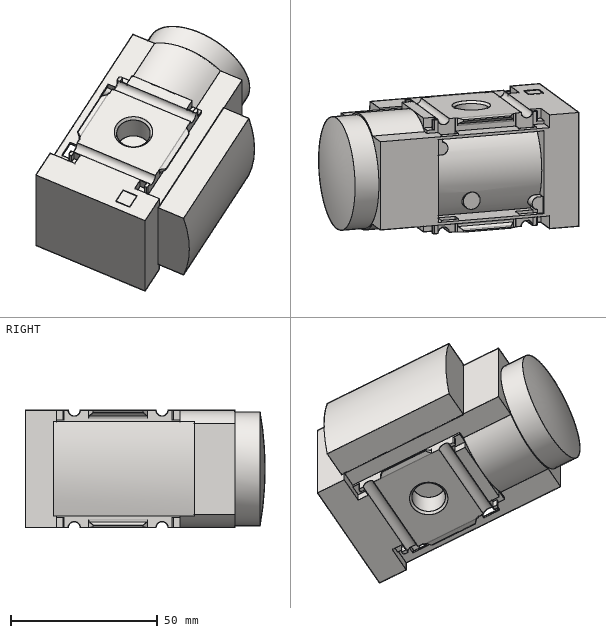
import cadquery as cq
import math

body_width = 42.1
body_height = 40.2
total_length = 82.0
total_width = 54.2
body_length = 71.6
half_width = body_width / 2
half_height = body_height / 2

port_y = 31.7
recess_length = 42.3
recess_front = port_y - recess_length / 2
recess_back = port_y + recess_length / 2
floor_z = 15.6
plate_half_width = 15.25
plate_overlap = 0.8

port_diameter = 11.5
port_chamfer = 0.8
port_depth = 9.8

groove_diameter = 4.0
groove_offset = 15.0

notch_inner_x = 11.55
notch_length = 3.9
notch_floor_z = 16.6
post_width = 1.2
post_length = 1.6
post_chamfer = 0.4

rib_reach = 1.8
rib_height = 2.6
rib_half_length = 10.1
rib_end_taper = 1.55
rib_top_drop = 0.25
rib_tip_drop = 0.7
rib_flank_drop = 1.15
rib_flank_inset = 0.4
rib_foot_drop = 2.0
rib_foot_reach = 0.2

window_half_length = 19.0
window_half_height = 14.6
bowl_radius = 18.9
slot_outer_x = 18.7
slot_inner_x = 14.9
slot_near = 10.9
slot_far = 17.1
lug_diameter = 4.5
lug_face_x = 20.0
lug_offset_y = 17.45
lug_edge_offset_y = 17.1
lug_z = 11.1
pin_diameter = 6.1
pin_face_x = 18.2
pin_y = 37.7
pin_z = -8.7

collar_radius = half_height
knob_diameter = 39.0
knob_rim_y = 80.2

gauge_front = 9.6
gauge_back = 57.8
gauge_half_height = 16.15
gauge_edge_x = 30.9
gauge_tip_x = total_width - half_width

mark_size = 5.3
mark_x = 11.0
mark_y = 5.5
mark_depth = 0.25


def box(x_min, x_max, y_min, y_max, z_min, z_max):
    """Axis-aligned box given by its limits."""
    size = (x_max - x_min, y_max - y_min, z_max - z_min)
    return cq.Workplane("XY").box(*size, centered=False).translate((x_min, y_min, z_min))


def rod_along_x(x_min, x_max, y, z, diameter):
    """Cylinder parallel to X."""
    return cq.Workplane("YZ", origin=(x_min, y, z)).circle(diameter / 2).extrude(x_max - x_min)


def rod_along_y(y_min, y_max, radius):
    """Cylinder on the knob axis."""
    return cq.Workplane("XZ", origin=(0, y_min, 0)).circle(radius).extrude(y_min - y_max)


def mirror_y(shape):
    """Copy reflected about the plane through the port axis."""
    return shape.mirror("XZ", (0, port_y, 0))


def half_turn(shape):
    """Copy turned by 180 degrees about the line along X at mid-height through the port axis."""
    return shape.rotate((0, port_y, 0), (1, port_y, 0), 180)


def make_knob():
    """Plain cylinder closed by a shallow domed cap."""
    radius = knob_diameter / 2
    rise = total_length - knob_rim_y
    dome_radius = (radius**2 + rise**2) / (2 * rise)
    middle_y = total_length - dome_radius + math.sqrt(dome_radius**2 - (radius / 2) ** 2)
    return (
        cq.Workplane("XY")
        .moveTo(0, body_length)
        .lineTo(radius, body_length)
        .lineTo(radius, knob_rim_y)
        .threePointArc((radius / 2, middle_y), (0, total_length))
        .close()
        .revolve(360, (0, 0, 0), (0, 1, 0))
    )


def make_gauge():
    """Block with a bulged outer face."""
    return (
        cq.Workplane("XZ", origin=(0, gauge_front, 0))
        .moveTo(half_width, -gauge_half_height)
        .lineTo(gauge_edge_x, -gauge_half_height)
        .threePointArc((gauge_tip_x, 0), (gauge_edge_x, gauge_half_height))
        .lineTo(half_width, gauge_half_height)
        .close()
        .extrude(gauge_front - gauge_back)
    )


def make_window():
    """Cavity open to -X, its inner wall being the convex bowl."""
    cavity = box(
        -half_width, 0,
        port_y - window_half_length, port_y + window_half_length,
        -window_half_height, window_half_height,
    )
    return cavity.cut(rod_along_y(0, body_length, bowl_radius))


def make_lug():
    """Rounded lug in the upper back corner of the window."""
    y = port_y + lug_offset_y
    back = port_y + window_half_length
    lug = rod_along_x(-lug_face_x, 0, y, lug_z, lug_diameter)
    corner = box(
        -lug_face_x, 0,
        port_y + lug_edge_offset_y, back,
        lug_z, window_half_height,
    )
    foot = box(-lug_face_x, 0, y, back, lug_z - lug_diameter / 2, lug_z)
    return lug.union(corner).union(foot)


def make_rib():
    """Wedge-shaped rib on the -X side of the upper plate, with bevelled ends."""
    root_x = -plate_half_width
    tip_x = root_x - rib_reach
    profile = [
        (0, half_height - rib_height),
        (root_x, half_height - rib_height),
        (root_x - rib_foot_reach, half_height - rib_foot_drop),
        (tip_x + rib_flank_inset, half_height - rib_flank_drop),
        (tip_x, half_height - rib_tip_drop),
        (tip_x, half_height - rib_top_drop),
        (root_x, half_height),
        (0, half_height),
    ]
    tip_half_length = rib_half_length - rib_end_taper
    plan = [
        (0, port_y - rib_half_length),
        (root_x, port_y - rib_half_length),
        (tip_x, port_y - tip_half_length),
        (tip_x, port_y + tip_half_length),
        (root_x, port_y + rib_half_length),
        (0, port_y + rib_half_length),
    ]
    bar = cq.Workplane("XZ").polyline(profile).close().extrude(-body_length)
    return bar.intersect(cq.Workplane("XY").polyline(plan).close().extrude(half_height))


def make_post():
    """Post in the back -X notch of the upper plate, with a bevelled outer edge."""
    y_min = recess_back - notch_length
    post = box(
        -plate_half_width, -plate_half_width + post_width,
        y_min, y_min + post_length,
        floor_z, half_height,
    )
    return post.edges("|Z and <X and >Y").chamfer(post_chamfer)


def make_plate():
    """Upper port plate with ribs, grooves, corner notches and posts."""
    plate = box(
        -plate_half_width, plate_half_width,
        recess_front, recess_back,
        floor_z - plate_overlap, half_height,
    )
    rib = make_rib()
    plate = plate.union(rib).union(rib.mirror("YZ"))

    notch = box(
        -plate_half_width, -notch_inner_x,
        recess_back - notch_length, recess_back,
        notch_floor_z, half_height,
    )
    post = make_post()
    for shape in (notch, mirror_y(notch)):
        plate = plate.cut(shape).cut(shape.mirror("YZ"))
    for shape in (post, mirror_y(post)):
        plate = plate.union(shape).union(shape.mirror("YZ"))

    for side in (-1, 1):
        groove_y = port_y + side * groove_offset
        plate = plate.cut(
            rod_along_x(-half_width, half_width, groove_y, half_height, groove_diameter)
        )
    return plate


def make_port():
    """Blind port with a chamfered mouth, entering from the top."""
    mouth = port_diameter / 2 + port_chamfer
    return (
        cq.Workplane("XZ", origin=(0, port_y, 0))
        .moveTo(0, half_height)
        .lineTo(mouth, half_height)
        .lineTo(port_diameter / 2, half_height - port_chamfer)
        .lineTo(port_diameter / 2, half_height - port_depth)
        .lineTo(0, half_height - port_depth)
        .close()
        .revolve(360, (0, 0, 0), (0, 1, 0))
    )


def make_slot():
    """Rectangular opening through the upper window wall, nicking the plate side."""
    return box(
        -slot_outer_x, -slot_inner_x,
        port_y + slot_near, port_y + slot_far,
        window_half_height, half_height,
    )


body = box(-half_width, half_width, 0, body_length, -floor_z, floor_z)
body = body.union(box(-half_width, half_width, 0, recess_front, -half_height, half_height))
body = body.union(rod_along_y(recess_back, body_length, collar_radius))
body = body.union(make_knob()).union(make_gauge())

lug = make_lug()
body = body.cut(make_window()).union(lug).union(half_turn(lug))
body = body.union(rod_along_x(-pin_face_x, 0, pin_y, pin_z, pin_diameter))

plate = make_plate()
port = make_port()
slot = make_slot()
body = body.union(plate).union(plate.mirror("XY"))
body = body.cut(port).cut(port.mirror("XY"))
for opening in (slot, mirror_y(slot)):
    body = body.cut(opening).cut(opening.mirror("XY"))

half_mark = mark_size / 2
mark = box(
    mark_x - half_mark, mark_x + half_mark,
    mark_y - half_mark, mark_y + half_mark,
    half_height - mark_depth, half_height,
)
result = body.cut(mark)